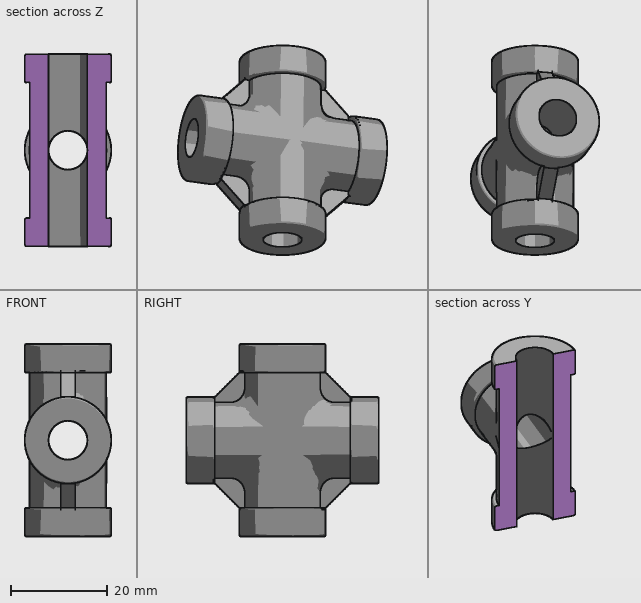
import cadquery as cq

span = 40.0
pipe_radius = 8.0
collar_radius = 9.0
collar_length = 6.0
bore_radius = 4.0
outer_rounding = 0.5
inner_rounding = 0.4
crotch_radius = 3.0
rib_thickness = 3.0

half_span = span / 2
collar_start = half_span - collar_length
arm_angles = [0, 90, 180, 270]


def turn(solid, angle):
    """Rotate a solid about the X axis, which is normal to the cross."""
    return solid.rotate((0, 0, 0), (1, 0, 0), angle)


def make_pipes():
    """Two equal crossing pipes with rounded crotches."""
    upright = cq.Workplane("XY").circle(pipe_radius).extrude(half_span, both=True)
    cross = upright.union(turn(upright, 90))
    return cross.edges("%ELLIPSE or %BSPLINE").fillet(crotch_radius)


def make_collar():
    """Collar at the +Z end; its inner rim stays square where the two ribs run into it."""
    base = cq.Workplane("XY").workplane(offset=collar_start)
    collar = base.circle(collar_radius).extrude(collar_length)
    collar = collar.faces(">Z").edges().fillet(outer_rounding)
    rib_band = base.rect(rib_thickness, 2 * collar_radius).extrude(inner_rounding)
    rib_seats = collar.intersect(rib_band)
    return collar.faces("<Z").edges().fillet(inner_rounding).union(rib_seats)


def make_ribs():
    """Flat octagonal web that braces each pair of neighbouring arms."""
    corners = []
    for side in (1, -1):
        corners += [
            (side * collar_radius, side * collar_start),
            (-side * collar_radius, side * collar_start),
            (-side * collar_start, side * collar_radius),
            (-side * collar_start, -side * collar_radius),
        ]
    return cq.Workplane("YZ").polyline(corners).close().extrude(rib_thickness / 2, both=True)


result = make_pipes().union(make_ribs())
for angle in arm_angles:
    result = result.union(turn(make_collar(), angle))

bore = cq.Workplane("XY").circle(bore_radius).extrude(half_span, both=True)
result = result.cut(bore).cut(turn(bore, 90))